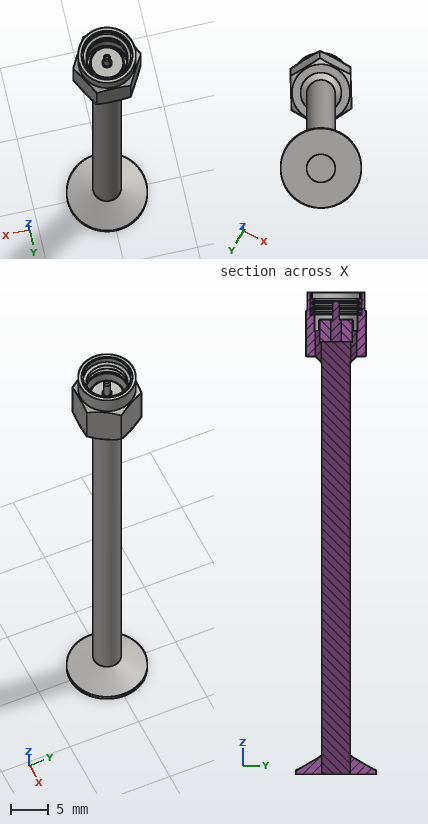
import cadquery as cq
import math


total_height = 64.0
sleeve_length = 2.4
hex_length = 6.15
collar_cone_length = 0.85
liner_length = 3.0
contact_depth = 3.6
barrel_length = 1.5
dielectric_length = 3.0
pin_depth = 1.15
pin_tip_length = 0.2
nut_top = total_height
liner_bottom = nut_top - liner_length
hex_top = nut_top - sleeve_length
nut_bottom = hex_top - hex_length
collar_bottom = nut_bottom - collar_cone_length
barrel_top = nut_top - contact_depth
shoulder_level = barrel_top - barrel_length
cable_top = barrel_top - dielectric_length
pin_top = nut_top - pin_depth

hex_sides = 6
across_flats = 8.0
corner_radius = across_flats / 2 / math.cos(math.pi / hex_sides)
sleeve_radius = 3.85
hex_chamfer_angle = math.radians(30)
hex_chamfer_height = (corner_radius - sleeve_radius) * math.tan(hex_chamfer_angle)

liner_radius = 3.4
thread_root_radius = 3.18
thread_crest_radius = 2.75
thread_pitch = 0.7055
thread_count = 3
thread_start_depth = 0.85
thread_flank_angle = math.radians(30)
thread_half_height = (thread_root_radius - thread_crest_radius) * math.tan(thread_flank_angle)

chamber_radius = 2.85
collar_radius = 2.72
barrel_radius = 2.28
barrel_chamfer = 0.15
dielectric_radius = barrel_radius - barrel_chamfer
pin_base_radius = 0.65
pin_radius = 0.46
pin_tip_radius = 0.22

cable_radius = 1.9
foot_diameter = 10.75
foot_radius = foot_diameter / 2
foot_rim_height = 0.5
foot_height = 2.5


def turned(profile):
    """Solid of revolution about Z from a closed outline of (radius, z) points."""
    return cq.Workplane("XZ").polyline(profile).close().revolve(360, (0, 0, 0), (0, 1, 0))


def cylinder(radius, bottom, top):
    return cq.Workplane("XY").workplane(offset=bottom).circle(radius).extrude(top - bottom)


def make_nut():
    """Chamfered hexagon with a round sleeve, bored for the liner and the contact parts."""
    hexagon = (
        cq.Workplane("XY")
        .workplane(offset=nut_bottom)
        .polygon(hex_sides, 2 * corner_radius)
        .extrude(hex_length)
    )
    chamfer_envelope = turned([
        (0, nut_bottom),
        (sleeve_radius, nut_bottom),
        (corner_radius, nut_bottom + hex_chamfer_height),
        (corner_radius, hex_top - hex_chamfer_height),
        (sleeve_radius, hex_top),
        (0, hex_top),
    ])
    sleeve = cylinder(sleeve_radius, hex_top, nut_top)
    blank = hexagon.intersect(chamfer_envelope).union(sleeve)

    liner_seat = cylinder(liner_radius, liner_bottom, nut_top)
    chamber = cylinder(chamber_radius, shoulder_level, liner_bottom)
    collar_hole = cylinder(collar_radius, nut_bottom, shoulder_level)
    return blank.cut(liner_seat).cut(chamber).cut(collar_hole)


def make_liner():
    """Ring flush with the nut's mouth, carrying the thread rings on its inner wall."""
    outline = [
        (liner_radius, nut_top),
        (liner_radius, liner_bottom),
        (thread_root_radius, liner_bottom),
    ]
    for ring in reversed(range(thread_count)):
        crest = nut_top - thread_start_depth - thread_half_height - ring * thread_pitch
        outline += [
            (thread_root_radius, crest - thread_half_height),
            (thread_crest_radius, crest),
            (thread_root_radius, crest + thread_half_height),
        ]
    outline.append((thread_root_radius, nut_top))
    return turned(outline)


def make_body():
    """Collar with a tapered tail and a chamfered barrel, bored for the cable and the dielectric."""
    return turned([
        (cable_radius, collar_bottom),
        (collar_radius, nut_bottom),
        (collar_radius, shoulder_level),
        (barrel_radius, shoulder_level),
        (barrel_radius, barrel_top - barrel_chamfer),
        (dielectric_radius, barrel_top),
        (dielectric_radius, cable_top),
        (cable_radius, cable_top),
    ])


def make_dielectric():
    """Insulating plug flush with the barrel front, bored for the pin."""
    plug = cylinder(dielectric_radius, cable_top, barrel_top)
    pin_hole = cylinder(pin_base_radius, cable_top, barrel_top)
    return plug.cut(pin_hole)


def make_pin():
    """Centre contact on the cable: a thick base in the dielectric, a thin shaft and a tapered tip."""
    return turned([
        (0, cable_top),
        (pin_base_radius, cable_top),
        (pin_base_radius, barrel_top),
        (pin_radius, barrel_top),
        (pin_radius, pin_top - pin_tip_length),
        (pin_tip_radius, pin_top),
        (0, pin_top),
    ])


def make_cable():
    return cylinder(cable_radius, 0, cable_top)


def make_foot():
    """Conical foot with a thin cylindrical rim, bored for the cable."""
    return turned([
        (cable_radius, 0),
        (foot_radius, 0),
        (foot_radius, foot_rim_height),
        (cable_radius, foot_height),
    ])


nut = make_nut()
liner = make_liner()
body = make_body()
dielectric = make_dielectric()
pin = make_pin()
cable = make_cable()
foot = make_foot()

result = cq.Compound.makeCompound([
    nut.val(),
    liner.val(),
    body.val(),
    dielectric.val(),
    pin.val(),
    cable.val(),
    foot.val(),
])